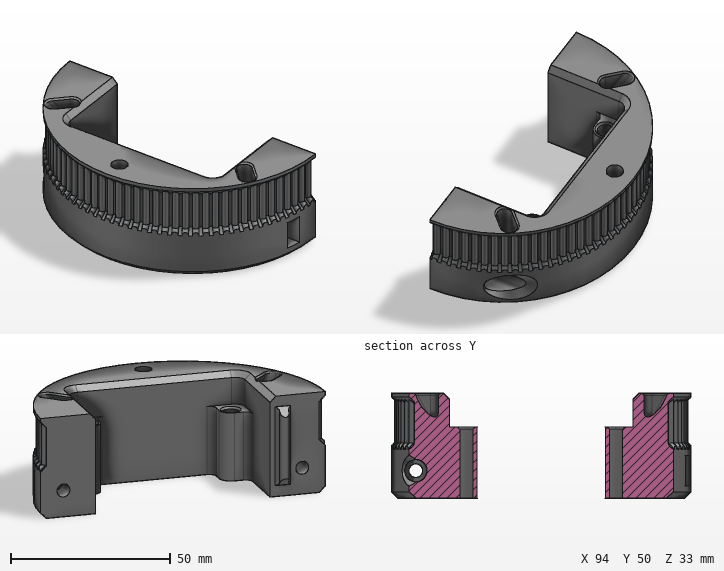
import cadquery as cq
import math

OUTER_R = 47.0
HEIGHT = 33.0
BOTTOM_CHAMFER = 2.0

TOOTH_COUNT = 90
TRACK_FLOOR_R = 44.9
TOOTH_R = 1.0
TOOTH_TIP_R = 46.2
TRACK_BOTTOM_Z = 17.4
RIM_BOTTOM_Z = 31.8
TRACK_DEPTH = OUTER_R - TRACK_FLOOR_R
TRACK_CLEARANCE = 0.5
FOOT_DROP = TRACK_DEPTH + 2 * TRACK_CLEARANCE

WINDOW_HALF_X = 28.8
WINDOW_BACK_Y = -28.95
WINDOW_CORNER_R = 3.3
WINDOW_CHAMFER = 1.9

BOSS_X = 23.5
BOSS_Y = -23.7
BOSS_R = 3.9
BOSS_FILLET = 2.35
BOSS_HEIGHT = 22.4
BOSS_HOLE_D = 5.2
BOSS_HOLE_CHAMFER = 0.7

CENTER_HOLE_Y = -40.2
CENTER_HOLE_D = 5.4

SLOT_X = 33.0
SLOT_Y = -19.1
SLOT_D = 5.0
SLOT_REACH = 5.7
SLOT_ANGLE = 45.0
SLOT_CHAMFER = 0.6
RAMP_DROP = 7.6

SCREW_X = 39.4
SCREW_Z = 8.65
SCREW_D = 4.2
HEAD_D = 7.0
HEAD_SEAT_Y = -10.0
HEAD_CHAMFER = 2.0
NUT_FRONT_Y = -12.8
NUT_BACK_Y = -7.8
NUT_WIDTH = 9.5

TONGUE_X = -33.0
TONGUE_R = 1.5
TONGUE_LENGTH = 3.0
TONGUE_FLARE = 1.0
TONGUE_BOTTOM_Z = 3.7
TONGUE_TOP_Z = 29.5
TONGUE_STEP = 0.2


def make_body():
    """Plain half ring blank, filled solid, with the bottom outer edge bevelled."""
    return (
        cq.Workplane("XZ")
        .moveTo(0, 0)
        .lineTo(OUTER_R - BOTTOM_CHAMFER, 0)
        .lineTo(OUTER_R, BOTTOM_CHAMFER)
        .lineTo(OUTER_R, HEIGHT)
        .lineTo(0, HEIGHT)
        .close()
        .revolve(180, (0, 0, 0), (0, -1, 0))
    )


def cut_head_bore(body):
    """Counterbore for the screw head, chamfered where it breaks through the round outside."""
    bore = (
        cq.Workplane("XZ", origin=(-SCREW_X, HEAD_SEAT_Y, SCREW_Z))
        .circle(HEAD_D / 2)
        .extrude(OUTER_R)
    )
    mouth = (-SCREW_X, -OUTER_R, SCREW_Z)
    return body.cut(bore).edges(cq.selectors.NearestToPointSelector(mouth)).chamfer(HEAD_CHAMFER)


def make_tooth():
    """Round tooth on the -Y axis: a straight rod above a foot that leans outwards at 45 degrees."""
    center_y = -(TOOTH_TIP_R - TOOTH_R)
    rod = (
        cq.Workplane("XY", origin=(0, center_y, TRACK_BOTTOM_Z))
        .circle(TOOTH_R)
        .extrude(RIM_BOTTOM_Z - TRACK_BOTTOM_Z)
    )
    foot = (
        cq.Workplane("XY", origin=(0, center_y, TRACK_BOTTOM_Z))
        .circle(TOOTH_R)
        .workplane(offset=-FOOT_DROP)
        .center(0, -FOOT_DROP)
        .circle(TOOTH_R)
        .loft(ruled=True)
    )
    return rod.union(foot)


def make_belt_track():
    """Space taken by the belt: a groove with 45 degree sides, less the teeth left standing in it."""
    groove = (
        cq.Workplane("XZ")
        .moveTo(TRACK_FLOOR_R, TRACK_BOTTOM_Z)
        .lineTo(OUTER_R + TRACK_CLEARANCE, TRACK_BOTTOM_Z - TRACK_DEPTH - TRACK_CLEARANCE)
        .lineTo(OUTER_R + TRACK_CLEARANCE, RIM_BOTTOM_Z + TRACK_CLEARANCE)
        .lineTo(TRACK_FLOOR_R, RIM_BOTTOM_Z - TRACK_DEPTH)
        .close()
        .revolve(360, (0, 0, 0), (0, 1, 0))
    )
    behind_split = (
        cq.Workplane("XY", origin=(0, TRACK_CLEARANCE, 0))
        .box(3 * OUTER_R, 2 * OUTER_R, HEIGHT, centered=(True, False, False))
    )
    pitch = 360.0 / TOOTH_COUNT
    steps_to_split = math.ceil(TOOTH_COUNT / 4)
    tooth = make_tooth()
    teeth = [
        tooth.rotate((0, 0, 0), (0, 0, 1), step * pitch).val()
        for step in range(-steps_to_split, steps_to_split + 1)
    ]
    return cq.Workplane(groove.cut(behind_split).val().cut(*teeth))


def make_window():
    depth = -WINDOW_BACK_Y
    block = (
        cq.Workplane("XY", origin=(0, WINDOW_BACK_Y, 0))
        .box(2 * WINDOW_HALF_X, 2 * depth, HEIGHT, centered=(True, False, False))
        .edges("|Z and <Y")
        .fillet(WINDOW_CORNER_R)
    )
    flare = (
        block.faces(">Z").wires().toPending()
        .workplane(origin=(0, 0, HEIGHT))
        .offset2D(WINDOW_CHAMFER)
        .extrude(-WINDOW_CHAMFER, taper=45)
    )
    return block.union(flare)


def make_boss(side):
    """Corner boss filling the window corner; side is -1 for the left arm and +1 for the right."""
    inner_x = side * (BOSS_X - BOSS_R)
    top_y = BOSS_Y + BOSS_R
    wall_x = side * WINDOW_HALF_X
    fillet = BOSS_FILLET
    root_x = wall_x + side * fillet
    root_y = WINDOW_BACK_Y - fillet
    diagonal = math.sqrt(0.5)
    return (
        cq.Workplane("XY")
        .moveTo(root_x, root_y)
        .lineTo(inner_x - side * fillet, root_y)
        .lineTo(inner_x - side * fillet, WINDOW_BACK_Y)
        .threePointArc(
            (inner_x - side * fillet * (1 - diagonal), WINDOW_BACK_Y + fillet * (1 - diagonal)),
            (inner_x, WINDOW_BACK_Y + fillet),
        )
        .lineTo(inner_x, BOSS_Y)
        .threePointArc(
            (side * (BOSS_X - BOSS_R * diagonal), BOSS_Y + BOSS_R * diagonal),
            (side * BOSS_X, top_y),
        )
        .lineTo(wall_x - side * fillet, top_y)
        .threePointArc(
            (wall_x - side * fillet * (1 - diagonal), top_y + fillet * (1 - diagonal)),
            (wall_x, top_y + fillet),
        )
        .lineTo(root_x, top_y + fillet)
        .close()
        .extrude(BOSS_HEIGHT)
    )


def make_boss_hole(side):
    return (
        cq.Workplane("XY", origin=(side * BOSS_X, BOSS_Y, 0))
        .circle(BOSS_HOLE_D / 2)
        .extrude(BOSS_HEIGHT)
        .faces(">Z")
        .workplane()
        .circle(BOSS_HOLE_D / 2 + BOSS_HOLE_CHAMFER)
        .extrude(-BOSS_HOLE_CHAMFER, taper=45)
    )


def make_ramped_slot(side):
    """Vertical through hole and a slot whose round floor climbs from it towards the rim."""
    radius = SLOT_D / 2
    ramp_top_z = HEIGHT - SLOT_CHAMFER
    hole = cq.Workplane("XY").circle(radius).extrude(HEIGHT)
    ramp = (
        cq.Workplane("XY", origin=(0, 0, ramp_top_z - RAMP_DROP))
        .circle(radius)
        .workplane(offset=RAMP_DROP)
        .center(SLOT_REACH, 0)
        .circle(radius)
        .loft(ruled=True)
    )
    web = (
        cq.Workplane("XZ")
        .polyline([(0, ramp_top_z - RAMP_DROP), (SLOT_REACH, ramp_top_z), (0, ramp_top_z)])
        .close()
        .extrude(radius, both=True)
    )
    middle = SLOT_REACH / 2
    mouth = (
        cq.Workplane("XY", origin=(middle, 0, ramp_top_z))
        .slot2D(SLOT_REACH + SLOT_D, SLOT_D)
        .extrude(SLOT_CHAMFER)
    )
    bevel = (
        cq.Workplane("XY", origin=(middle, 0, HEIGHT))
        .slot2D(SLOT_REACH + SLOT_D + 2 * SLOT_CHAMFER, SLOT_D + 2 * SLOT_CHAMFER)
        .extrude(-SLOT_CHAMFER, taper=45)
    )
    slot = hole.union(ramp).union(web).union(mouth).union(bevel)
    heading = -90 + side * (90 - SLOT_ANGLE)
    return (
        slot.rotate((0, 0, 0), (0, 0, 1), heading)
        .translate((side * SLOT_X, SLOT_Y, 0))
    )


def make_screw_hole(side, end_y):
    return (
        cq.Workplane("XZ", origin=(side * SCREW_X, 0, SCREW_Z))
        .circle(SCREW_D / 2)
        .extrude(-end_y)
    )


def make_nut_slot():
    """Pocket that takes the nut from the outside of the right arm."""
    return (
        cq.Workplane("XY", origin=(SCREW_X - NUT_WIDTH / 2, NUT_FRONT_Y, SCREW_Z))
        .box(OUTER_R, NUT_BACK_Y - NUT_FRONT_Y, NUT_WIDTH, centered=(False, False, True))
    )


def make_tongue():
    """Round nosed tongue with flared sides and bevelled ends."""
    nose_y = TONGUE_LENGTH - TONGUE_R
    outline = (
        cq.Workplane("XY", origin=(TONGUE_X, 0, 0))
        .moveTo(-TONGUE_R - TONGUE_FLARE, -TONGUE_R)
        .lineTo(-TONGUE_R - TONGUE_FLARE, 0)
        .lineTo(-TONGUE_R, TONGUE_FLARE)
        .lineTo(-TONGUE_R, nose_y)
        .threePointArc((0, TONGUE_LENGTH), (TONGUE_R, nose_y))
        .lineTo(TONGUE_R, TONGUE_FLARE)
        .lineTo(TONGUE_R + TONGUE_FLARE, 0)
        .lineTo(TONGUE_R + TONGUE_FLARE, -TONGUE_R)
        .close()
        .extrude(HEIGHT)
    )
    bevel = TONGUE_LENGTH - TONGUE_STEP
    side_shape = (
        cq.Workplane("YZ", origin=(TONGUE_X, 0, 0))
        .polyline([
            (-TONGUE_R, TONGUE_BOTTOM_Z),
            (TONGUE_STEP, TONGUE_BOTTOM_Z),
            (TONGUE_LENGTH, TONGUE_BOTTOM_Z + bevel),
            (TONGUE_LENGTH, TONGUE_TOP_Z - bevel),
            (TONGUE_STEP, TONGUE_TOP_Z),
            (-TONGUE_R, TONGUE_TOP_Z),
        ])
        .close()
        .extrude(TONGUE_LENGTH, both=True)
    )
    return outline.intersect(side_shape)


result = cut_head_bore(make_body())
result = result.cut(make_belt_track())
result = result.cut(make_window())
for arm in (-1, 1):
    result = result.union(make_boss(arm))
    result = result.cut(make_boss_hole(arm))
    result = result.cut(make_ramped_slot(arm))
result = result.cut(
    cq.Workplane("XY", origin=(0, CENTER_HOLE_Y, 0)).circle(CENTER_HOLE_D / 2).extrude(HEIGHT)
)
result = result.cut(make_screw_hole(-1, HEAD_SEAT_Y))
result = result.cut(make_screw_hole(1, NUT_FRONT_Y))
result = result.cut(make_nut_slot())
result = result.union(make_tongue())